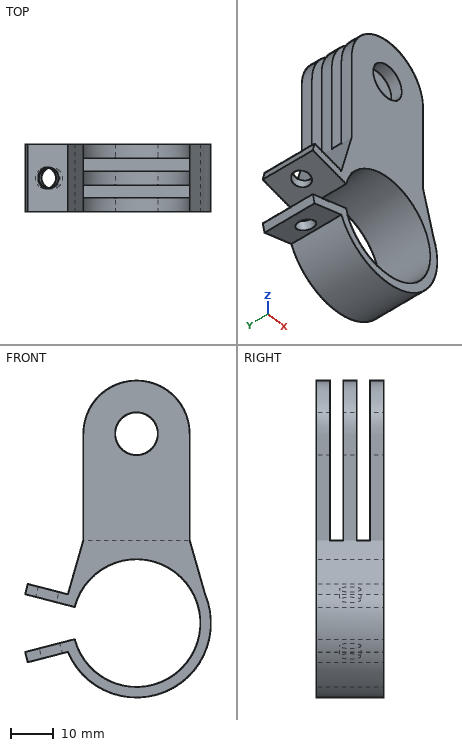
import cadquery as cq
import math

TOTAL_HEIGHT = 74.5
WIDTH = 15.9

RING_OUTER_RADIUS = 17.5
WALL = 2.5
RING_INNER_RADIUS = RING_OUTER_RADIUS - WALL

TAB_ANGLE = 14.5
TAB_END_RADIUS = 27.0
UPPER_HOLE_DISTANCE = 22.05
LOWER_HOLE_DISTANCE = 21.15
TAB_HOLE_DIAMETER = 5.0

MOUNT_RADIUS = 12.5
MOUNT_BASE_Z = 19.45
PIVOT_Z = TOTAL_HEIGHT - RING_OUTER_RADIUS - MOUNT_RADIUS
PIVOT_DIAMETER = 10.0
FINGER_THICKNESS = 3.3
FINGER_GAP = (WIDTH - 3 * FINGER_THICKNESS) / 2


def extrude_across(profile, width=WIDTH):
    """Extrude an XZ profile symmetrically about Y = 0."""
    return profile.extrude(width / 2, both=True)


def make_neck():
    """Tapered neck reaching down to where the upper tab's outer face meets the ring."""
    foot_angle = math.radians(TAB_ANGLE) + math.asin(WALL / RING_OUTER_RADIUS)
    foot_x = RING_OUTER_RADIUS * math.cos(foot_angle)
    foot_z = RING_OUTER_RADIUS * math.sin(foot_angle)
    return extrude_across(
        cq.Workplane("XZ").polyline([
            (-foot_x, foot_z),
            (foot_x, foot_z),
            (MOUNT_RADIUS, MOUNT_BASE_Z),
            (-MOUNT_RADIUS, MOUNT_BASE_Z),
        ]).close()
    )


def make_mount():
    """Rounded lug with a pivot hole, slotted into three fingers."""
    mount = extrude_across(
        cq.Workplane("XZ")
        .moveTo(-MOUNT_RADIUS, MOUNT_BASE_Z)
        .lineTo(MOUNT_RADIUS, MOUNT_BASE_Z)
        .lineTo(MOUNT_RADIUS, PIVOT_Z)
        .threePointArc((0, PIVOT_Z + MOUNT_RADIUS), (-MOUNT_RADIUS, PIVOT_Z))
        .close()
    )
    pivot = extrude_across(
        cq.Workplane("XZ").center(0, PIVOT_Z).circle(PIVOT_DIAMETER / 2)
    )
    mount = mount.cut(pivot)
    slot_offset = (FINGER_THICKNESS + FINGER_GAP) / 2
    for side in (-1, 1):
        slot = (
            cq.Workplane("XY")
            .box(2 * MOUNT_RADIUS, FINGER_GAP, TOTAL_HEIGHT, centered=(True, True, False))
            .translate((0, side * slot_offset, MOUNT_BASE_Z))
        )
        mount = mount.cut(slot)
    return mount


def make_tab(side, hole_distance):
    """Drilled tab above (side = 1) or below (side = -1) the ring opening."""
    tab = (
        cq.Workplane("XY")
        .box(TAB_END_RADIUS - RING_INNER_RADIUS, WIDTH, WALL)
        .translate((-(TAB_END_RADIUS + RING_INNER_RADIUS) / 2, 0, side * WALL / 2))
    )
    hole = (
        cq.Workplane("XY")
        .center(-hole_distance, 0)
        .circle(TAB_HOLE_DIAMETER / 2)
        .extrude(WALL, both=True)
    )
    return tab.cut(hole).rotate((0, 0, 0), (0, 1, 0), side * TAB_ANGLE)


def make_opening():
    """Wedge between the radial faces of the two tabs."""
    end_x = -TAB_END_RADIUS
    end_z = TAB_END_RADIUS * math.tan(math.radians(TAB_ANGLE))
    return extrude_across(
        cq.Workplane("XZ").polyline([(0, 0), (end_x, end_z), (end_x, -end_z)]).close()
    )


ring = extrude_across(cq.Workplane("XZ").circle(RING_OUTER_RADIUS))
bore = extrude_across(cq.Workplane("XZ").circle(RING_INNER_RADIUS))

result = ring.union(make_neck()).cut(bore).cut(make_opening())
result = result.union(make_mount())
result = result.union(make_tab(1, UPPER_HOLE_DISTANCE))
result = result.union(make_tab(-1, LOWER_HOLE_DISTANCE))